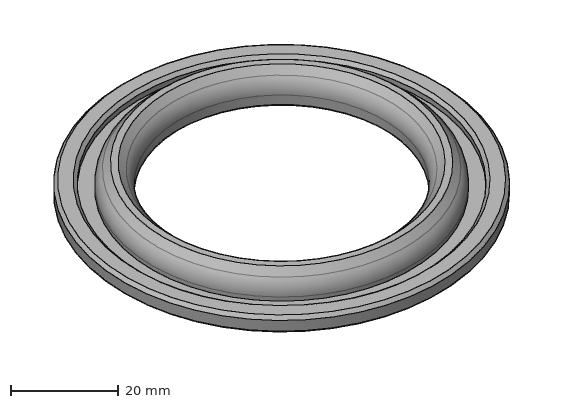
import cadquery as cq
import math

outer_radius = 42.5
bore_radius = 27.5
flange_height = 4.0
edge_chamfer = 0.75

groove_outer_radius = 38.1
groove_floor_z = 2.0

total_height = 8.0
crest_half_width = 0.72
flank_width = 1.5
shoulder_radius = 5.0
flank_angle = math.radians(45)

flank_foot_offset = crest_half_width + flank_width
flank_foot_z = total_height - flank_width * math.tan(flank_angle)
shoulder_centre_offset = flank_foot_offset - shoulder_radius * math.cos(flank_angle)
shoulder_end_z = flank_foot_z - shoulder_radius * math.sin(flank_angle)
mid_shoulder_offset = shoulder_centre_offset + shoulder_radius * math.cos(flank_angle / 2)
mid_shoulder_z = shoulder_end_z + shoulder_radius * math.sin(flank_angle / 2)

bead_half_width = shoulder_centre_offset + shoulder_radius
bead_centre_radius = bore_radius + bead_half_width
bead_outer_radius = bead_centre_radius + bead_half_width


def make_section():
    """Half section of the ring; local x is the radius and local y is Z."""
    return (
        cq.Workplane("XZ")
        .moveTo(bore_radius + edge_chamfer, 0)
        .lineTo(outer_radius - edge_chamfer, 0)
        .lineTo(outer_radius, edge_chamfer)
        .lineTo(outer_radius, flange_height - edge_chamfer)
        .lineTo(outer_radius - edge_chamfer, flange_height)
        .lineTo(groove_outer_radius + edge_chamfer, flange_height)
        .lineTo(groove_outer_radius, flange_height - edge_chamfer)
        .lineTo(groove_outer_radius, groove_floor_z)
        .lineTo(bead_outer_radius, groove_floor_z)
        .lineTo(bead_outer_radius, shoulder_end_z)
        .threePointArc(
            (bead_centre_radius + mid_shoulder_offset, mid_shoulder_z),
            (bead_centre_radius + flank_foot_offset, flank_foot_z),
        )
        .lineTo(bead_centre_radius + crest_half_width, total_height)
        .lineTo(bead_centre_radius - crest_half_width, total_height)
        .lineTo(bead_centre_radius - flank_foot_offset, flank_foot_z)
        .threePointArc(
            (bead_centre_radius - mid_shoulder_offset, mid_shoulder_z),
            (bore_radius, shoulder_end_z),
        )
        .lineTo(bore_radius, edge_chamfer)
        .close()
    )


result = make_section().revolve(360, (0, 0, 0), (0, 1, 0))